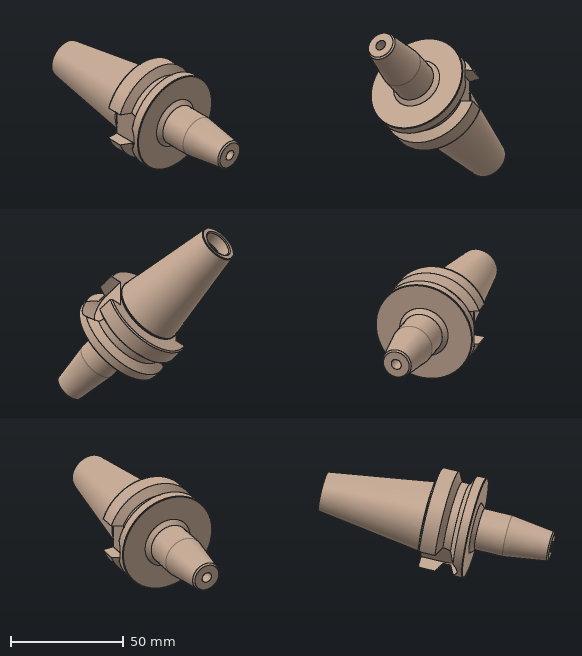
import cadquery as cq
import math

total_length = 105.7

gauge_radius = 16.1
taper_length = 48.5
neck_radius = 15.8
neck_start = 49.0
taper_half_slope = 7 / 24 / 2
taper_small_radius = gauge_radius - taper_length * taper_half_slope
taper_edge_chamfer = 0.3

flange_radius = 22.98
flange_start = 49.5
flange_end = 70.4
flange_front_chamfer = 0.6
flange_back_chamfer = 0.3
groove_start = 57.4
groove_end = 65.9
groove_root_radius = 18.7
groove_flank_run = (flange_radius - groove_root_radius) * math.tan(math.radians(30))

nose_radius = 9.5
nose_root_chamfer = 2.0
nose_cone_start = 85.4
nose_tip_radius = 6.9
tip_chamfer = 0.7

slot_width = 16.3
slot_floor = 16.1
slot_end = 67.9

entry_diameter = 12.6
entry_depth = 6.3
entry_chamfer = 0.5
thread_diameter = 10.1
thread_depth = 25.4
nose_bore_diameter = 6.2
through_diameter = 4.8
nose_bore_start = 80.3


def make_body():
    """Revolve the outer (x, radius) outline about the X axis."""
    outline = [
        (0, 0),
        (0, taper_small_radius - taper_edge_chamfer),
        (taper_edge_chamfer, taper_small_radius + taper_edge_chamfer * taper_half_slope),
        (taper_length, gauge_radius),
        (neck_start, neck_radius),
        (flange_start, neck_radius),
        (flange_start, flange_radius - flange_front_chamfer),
        (flange_start + flange_front_chamfer, flange_radius),
        (groove_start, flange_radius),
        (groove_start + groove_flank_run, groove_root_radius),
        (groove_end - groove_flank_run, groove_root_radius),
        (groove_end, flange_radius),
        (flange_end - flange_back_chamfer, flange_radius),
        (flange_end, flange_radius - flange_back_chamfer),
        (flange_end, nose_radius + nose_root_chamfer),
        (flange_end + nose_root_chamfer, nose_radius),
        (nose_cone_start, nose_radius),
        (total_length - tip_chamfer, nose_tip_radius),
        (total_length, nose_tip_radius - tip_chamfer),
        (total_length, 0),
    ]
    return cq.Workplane("XY").polyline(outline).close().revolve(360, (0, 0), (1, 0))


def make_drive_slot(side):
    """Round-ended slot cutter, open towards the taper; side is -1 or +1 along Y."""
    half_width = slot_width / 2
    arc_center = slot_end - half_width
    profile = (
        cq.Workplane("XZ")
        .moveTo(flange_start, -half_width)
        .lineTo(arc_center, -half_width)
        .threePointArc((slot_end, 0), (arc_center, half_width))
        .lineTo(flange_start, half_width)
        .close()
    )
    cutter = profile.extrude(-side * flange_radius)
    return cutter.translate((0, side * slot_floor, 0))


def make_bore():
    """Stepped through bore, widest at the taper end."""
    entry_radius = entry_diameter / 2
    thread_radius = thread_diameter / 2
    nose_bore_radius = nose_bore_diameter / 2
    through_radius = through_diameter / 2
    outline = [
        (0, 0),
        (0, entry_radius + entry_chamfer),
        (entry_chamfer, entry_radius),
        (entry_depth, entry_radius),
        (entry_depth, thread_radius),
        (thread_depth, thread_radius),
        (thread_depth, nose_bore_radius),
        (nose_bore_start, nose_bore_radius),
        (nose_bore_start, through_radius),
        (total_length, through_radius),
        (total_length, 0),
    ]
    return cq.Workplane("XY").polyline(outline).close().revolve(360, (0, 0), (1, 0))


result = make_body().cut(make_bore())
for side in (-1, 1):
    result = result.cut(make_drive_slot(side))